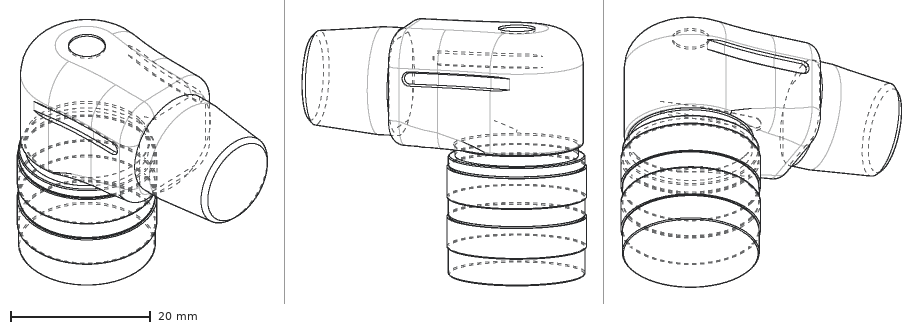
import cadquery as cq
import math

total_length = 40.2
total_height = 35.75

ring_radius = 10.0
barrel_radius = 9.8
neck_radius = 8.85
barrel_top = 17.25
barrel_edge_chamfer = 0.15
ring_height = 4.4
lower_ring_bottom = 4.0
ring_pitch = 7.25
ring_count = 2
relief_radius = 9.73
lower_relief_height = 0.12
upper_relief_height = 0.25
neck_flare = 0.2

body_bottom = 18.85
head_radius = 9.53
arm_half_width = 8.75
arm_start_x = 9.45
arm_end_x = 17.15
top_fillet = 5.0
lower_fillet = 0.32
end_fillet = 2.0
end_round_x = arm_end_x - end_fillet

arm_start_rounding = 2.77
end_rounding = 4.2
flank_rounding = [(2.4, 0.35), (5.63, 1.65), (arm_start_x, arm_start_rounding)]
arm_rounding = [(arm_start_x, arm_start_rounding), (12.25, 3.25), (end_round_x, end_rounding)]
rounding_margin = 0.8

grip_depth = 0.45
grip_floor_radius = 0.8
grip_rim_radius = 1.05
grip_z = 29.25
grip_end_x = 13.63
grip_run_out = 4.0
grip_overcut = 1.5

recess_diameter = 5.25
recess_depth = 0.32

outlet_z = 27.2
outlet_radius = 7.75
outlet_tip_radius = 6.8
outlet_end_x = total_length - ring_radius
outlet_straight = 2.95
outlet_chamfer = 0.7

flank_radius = (arm_start_x**2 + arm_half_width**2 - head_radius**2) / (2 * (head_radius - arm_half_width))
flank_centre_y = arm_half_width + flank_radius
seam_angle = math.atan2(flank_centre_y, arm_start_x)


def flank_point(x, inset=0.0):
    """Point of the flank at x, moved into the body by inset."""
    radius = flank_radius + inset
    return (x, flank_centre_y - math.sqrt(radius**2 - (x - arm_start_x)**2))


def side_y(x):
    """Half width of the arm at x."""
    return flank_point(x)[1] if x < arm_start_x else arm_half_width


def mirror_pair(shape):
    """The shape together with its copy on the opposite side of the XZ plane."""
    return shape.union(shape.mirror("XZ"))


def make_disc(bottom, height, radius):
    return cq.Workplane("XY", origin=(0, 0, bottom)).circle(radius).extrude(height)


def make_barrel():
    """Stepped barrel with two grip rings, and the neck that joins it to the body."""
    barrel = make_disc(0, barrel_top, barrel_radius).edges().chamfer(barrel_edge_chamfer)
    for i in range(ring_count):
        ring_bottom = lower_ring_bottom + i * ring_pitch
        groove_bottom = ring_bottom - lower_relief_height
        groove_height = lower_relief_height + ring_height + upper_relief_height
        sleeve = make_disc(groove_bottom, groove_height, ring_radius)
        core = make_disc(groove_bottom, groove_height, relief_radius)
        ring = make_disc(ring_bottom, ring_height, ring_radius)
        barrel = barrel.cut(sleeve).union(core).union(ring)
    neck = make_disc(0, body_bottom, neck_radius)
    flare = cq.Solid.makeCone(
        neck_radius, neck_radius + neck_flare, neck_flare,
        pnt=cq.Vector(0, 0, body_bottom - neck_flare),
    )
    return barrel.union(neck).union(cq.Workplane(flare))


def make_edge_cutter(stations):
    """Tool that rounds a stretch of one lower side edge, through the given (x, radius) stations."""
    wires = []
    low = body_bottom - rounding_margin
    for x, radius in stations:
        y = side_y(x)
        mid = radius * (1 - math.sqrt(0.5))
        section = (
            cq.Workplane("YZ", origin=(x, 0, 0))
            .moveTo(y - radius, body_bottom)
            .threePointArc((y - mid, body_bottom + mid), (y, body_bottom + radius))
            .lineTo(y + rounding_margin, body_bottom + radius)
            .lineTo(y + rounding_margin, low)
            .lineTo(y - radius, low)
            .close()
        )
        wires.append(section.val())
    return cq.Workplane(cq.Solid.makeLoft(wires))


def make_arm_end():
    """Last stretch of the arm, rounded all around its end face."""
    mid_height = (body_bottom + total_height) / 2
    block = cq.Workplane("YZ", origin=(end_round_x - end_fillet, 0, mid_height))
    block = block.rect(2 * arm_half_width, total_height - body_bottom).extrude(2 * end_fillet)
    block = block.edges("|X and >Z").fillet(top_fillet)
    block = block.edges("|X and <Z").fillet(end_rounding)
    block = block.faces(">X").edges().fillet(end_fillet)
    return block.faces("<X").workplane(offset=-end_fillet).split(keepBottom=True)


def make_body():
    """Elbow body: rounded head that narrows through concave flanks into a straight arm."""
    seam = (head_radius * math.cos(seam_angle), head_radius * math.sin(seam_angle))
    mid = flank_point((seam[0] + arm_start_x) / 2)
    outline = (
        cq.Workplane("XY", origin=(0, 0, body_bottom))
        .moveTo(*seam)
        .threePointArc(mid, (arm_start_x, arm_half_width))
        .lineTo(end_round_x, arm_half_width)
        .lineTo(end_round_x, -arm_half_width)
        .lineTo(arm_start_x, -arm_half_width)
        .threePointArc((mid[0], -mid[1]), (seam[0], -seam[1]))
        .threePointArc((-head_radius, 0), seam)
        .close()
    )
    body = outline.extrude(total_height - body_bottom)
    body = body.faces(">Z").edges("not >X").fillet(top_fillet)
    body = body.faces("<Z").edges("not >X").fillet(lower_fillet)
    for stations in (flank_rounding, arm_rounding):
        body = body.cut(mirror_pair(make_edge_cutter(stations)))
    return body.union(make_arm_end())


def make_grip():
    """Cutter for one side grip: floor parallel to the flank, running out on the head."""
    floor_y = arm_half_width - grip_depth
    inner = head_radius - grip_depth
    seam = (inner * math.cos(seam_angle), inner * math.sin(seam_angle))
    mid = flank_point((seam[0] + arm_start_x) / 2, grip_depth)
    run_out = (seam[0] - grip_run_out * math.sin(seam_angle), seam[1] + grip_run_out * math.cos(seam_angle))
    path = (
        cq.Workplane("XY", origin=(0, 0, grip_z))
        .moveTo(grip_end_x, floor_y)
        .lineTo(arm_start_x, floor_y)
        .threePointArc(mid, seam)
        .lineTo(*run_out)
    )
    cutter_height = grip_overcut * grip_depth
    cutter_radius = grip_floor_radius + grip_overcut * (grip_rim_radius - grip_floor_radius)
    trough = (
        cq.Workplane("YZ", origin=(grip_end_x, floor_y, grip_z))
        .polyline([
            (0, -grip_floor_radius),
            (0, grip_floor_radius),
            (cutter_height, cutter_radius),
            (cutter_height, -cutter_radius),
        ])
        .close()
        .sweep(path)
    )
    rounded_end = cq.Solid.makeCone(
        grip_floor_radius, cutter_radius, cutter_height,
        pnt=cq.Vector(grip_end_x, floor_y, grip_z), dir=cq.Vector(0, 1, 0),
    )
    return trough.union(cq.Workplane(rounded_end))


def make_outlet():
    """Round cable outlet with a tapered, chamfered tip."""
    taper_start = arm_end_x + outlet_straight
    chamfer_start = outlet_end_x - outlet_chamfer
    return (
        cq.Workplane("XZ")
        .polyline([
            (arm_end_x, 0),
            (arm_end_x, outlet_radius),
            (taper_start, outlet_radius),
            (chamfer_start, outlet_tip_radius),
            (outlet_end_x, outlet_tip_radius - outlet_chamfer),
            (outlet_end_x, 0),
        ])
        .close()
        .revolve(360, (0, 0, 0), (1, 0, 0))
        .translate((0, 0, outlet_z))
    )


def make_recess():
    """Cutter for the shallow round recess on top of the head."""
    return (
        cq.Workplane("XY", origin=(0, 0, total_height - recess_depth))
        .circle(recess_diameter / 2)
        .extrude(2 * recess_depth)
    )


result = (
    make_body()
    .cut(mirror_pair(make_grip()))
    .cut(make_recess())
    .union(make_outlet())
    .union(make_barrel())
)